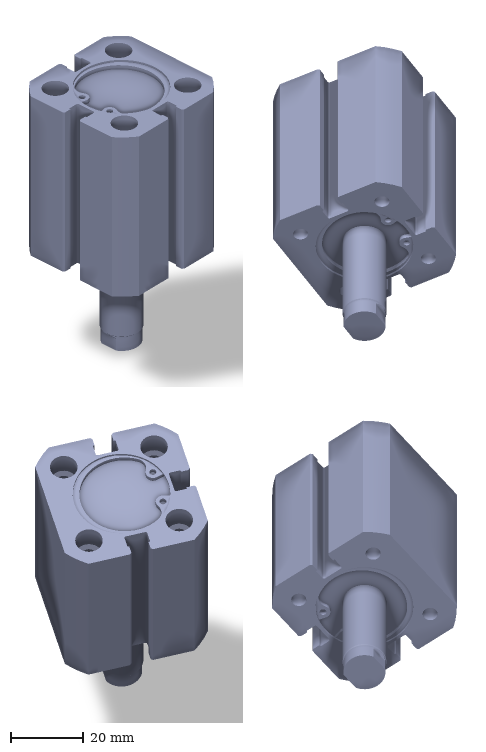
import cadquery as cq
import math

total_height = 83.5
housing_height = 52.6
housing_width = 41.0
corner_diameter = 51.0

slot_mouth_width = 5.5
slot_width = 6.5
slot_lip = 2.7
side_slot_depth = 6.2
front_slot_depth = 6.1
slot_mouth_chamfer = 0.5
slot_floor_fillet = 0.5

hole_spacing = 25.9
hole_diameter = 4.2
counterbore_diameter = 7.6
counterbore_depth = 7.0

bore_diameter = 27.0
groove_diameter = 28.4
groove_inset = 0.7
ring_thickness = 1.3

ring_inner_radius = 12.5
ring_inner_offset = 0.9
lug_radius = 2.0
lug_fillet = 3.25
lug_hole_x = 5.2
lug_hole_y = -10.4
lug_hole_diameter = 1.9

cover_thickness = 5.0

rod_diameter = 12.1
tip_diameter = 11.6
tip_length = 4.7
flat_width = 10.3
flat_length = 3.9

half_width = housing_width / 2
shoulder_chamfer = (rod_diameter - tip_diameter) / 2
rod_end_z = housing_height - total_height
lower_ring_z = groove_inset
upper_ring_z = housing_height - groove_inset - ring_thickness
rod_cover_z = lower_ring_z + ring_thickness
head_cover_z = upper_ring_z - cover_thickness


def disc(diameter, bottom_z, height):
    """Upright cylinder on the housing axis."""
    return cq.Workplane("XY", origin=(0, 0, bottom_z)).circle(diameter / 2).extrude(height)


def slot_cutter(depth, angle):
    """T-slot over the full height in the -Y side, turned about Z by angle."""
    side_y = -half_width
    mouth = slot_mouth_width / 2
    flare = mouth + slot_mouth_chamfer
    narrow = (
        cq.Workplane("XY")
        .moveTo(-flare, side_y)
        .lineTo(flare, side_y)
        .lineTo(mouth, side_y + slot_mouth_chamfer)
        .lineTo(mouth, side_y + slot_lip)
        .lineTo(-mouth, side_y + slot_lip)
        .lineTo(-mouth, side_y + slot_mouth_chamfer)
        .close()
        .extrude(housing_height)
    )
    wide_depth = depth - slot_lip
    wide = (
        cq.Workplane("XY", origin=(0, side_y + slot_lip + wide_depth / 2, 0))
        .rect(slot_width, wide_depth)
        .extrude(housing_height)
        .edges("|Z and >Y")
        .fillet(slot_floor_fillet)
    )
    return narrow.union(wide).rotate((0, 0, 0), (0, 0, 1), angle)


def make_housing():
    block = cq.Workplane("XY").rect(housing_width, housing_width).extrude(housing_height)
    body = block.intersect(disc(corner_diameter, 0, housing_height))
    body = (
        body.faces(">Z").workplane(origin=(0, 0, 0))
        .rect(hole_spacing, hole_spacing, forConstruction=True)
        .vertices()
        .cboreHole(hole_diameter, counterbore_diameter, counterbore_depth)
    )
    body = body.cut(slot_cutter(front_slot_depth, 0))
    for angle in (-90, 90):
        body = body.cut(slot_cutter(side_slot_depth, angle))
    body = body.cut(disc(bore_diameter, 0, housing_height))
    for groove_z in (lower_ring_z, upper_ring_z):
        body = body.cut(disc(groove_diameter, groove_z, ring_thickness))
    return body


def polar(center, radius, angle):
    """Point at a distance and direction (radians from +X) from a centre."""
    return (center[0] + radius * math.cos(angle), center[1] + radius * math.sin(angle))


def direction(start, end):
    """Direction from one point to another, in radians from +X."""
    return math.atan2(end[1] - start[1], end[0] - start[0])


def mirrored(point):
    """The same point on the -X side."""
    return (-point[0], point[1])


def ring_outline():
    """Closed outline of a retaining ring with an eccentric inner circle and two lugs beside its gap.

    The points are worked out for the +X half and mirrored for the other half.
    """
    axis = (0, 0)
    inner_center = (0, -ring_inner_offset)
    lug_center = (lug_hole_x, lug_hole_y)
    groove_radius = groove_diameter / 2

    lug_distance = math.hypot(*lug_center)
    gap_direction = direction(axis, lug_center) - math.asin(lug_radius / lug_distance)
    gap_outer = polar(axis, groove_radius, gap_direction)
    gap_inner = polar(axis, math.sqrt(lug_distance**2 - lug_radius**2), gap_direction)

    to_inner = ring_inner_radius - lug_fillet
    to_lug = lug_radius + lug_fillet
    between = math.dist(inner_center, lug_center)
    cos_at_inner = (to_inner**2 + between**2 - to_lug**2) / (2 * to_inner * between)
    fillet_direction = direction(inner_center, lug_center) + math.acos(cos_at_inner)
    fillet_center = polar(inner_center, to_inner, fillet_direction)
    lug_end = polar(lug_center, lug_radius, direction(lug_center, fillet_center))
    fillet_end = polar(inner_center, ring_inner_radius, fillet_direction)

    lug_start_direction = direction(lug_center, gap_inner) % math.tau
    lug_end_direction = direction(lug_center, fillet_center)
    lug_middle = polar(lug_center, lug_radius, (lug_start_direction + lug_end_direction) / 2)
    fillet_start_direction = direction(fillet_center, lug_center)
    fillet_middle = polar(fillet_center, lug_fillet, (fillet_start_direction + fillet_direction) / 2)

    return (
        cq.Workplane("XY")
        .moveTo(*gap_outer)
        .lineTo(*gap_inner)
        .threePointArc(lug_middle, lug_end)
        .threePointArc(fillet_middle, fillet_end)
        .threePointArc((0, ring_inner_radius - ring_inner_offset), mirrored(fillet_end))
        .threePointArc(mirrored(fillet_middle), mirrored(lug_end))
        .threePointArc(mirrored(lug_middle), mirrored(gap_inner))
        .lineTo(*mirrored(gap_outer))
        .threePointArc((0, groove_radius), gap_outer)
        .close()
    )


def make_ring(bottom_z):
    lug_holes = (
        cq.Workplane("XY")
        .pushPoints([(-lug_hole_x, lug_hole_y), (lug_hole_x, lug_hole_y)])
        .circle(lug_hole_diameter / 2)
        .extrude(ring_thickness)
    )
    ring = ring_outline().extrude(ring_thickness).cut(lug_holes)
    return ring.translate((0, 0, bottom_z))


def make_head_cover():
    return disc(bore_diameter, head_cover_z, cover_thickness)


def make_rod_cover():
    """Plate at the rod end, bored to guide the rod."""
    plate = disc(bore_diameter, rod_cover_z, cover_thickness)
    return plate.cut(disc(rod_diameter, rod_cover_z, cover_thickness))


def flat_cutter(side):
    """Material beyond one wrench flat; its upper end slopes outward at 45 degrees."""
    flat_y = flat_width / 2
    flat_top_z = rod_end_z + flat_length
    reach = rod_diameter - flat_y
    profile = [
        (side * flat_y, rod_end_z),
        (side * flat_y, flat_top_z),
        (side * (flat_y + reach), flat_top_z + reach),
        (side * (flat_y + reach), rod_end_z),
    ]
    return cq.Workplane("YZ").polyline(profile).close().extrude(rod_diameter, both=True)


def make_rod():
    """Rod from the head cover out through the rod cover to a reduced tip with two flats."""
    shoulder_z = rod_end_z + tip_length
    shaft = disc(rod_diameter, shoulder_z, head_cover_z - shoulder_z)
    shaft = shaft.faces("<Z").edges().chamfer(shoulder_chamfer)
    rod = shaft.union(disc(tip_diameter, rod_end_z, tip_length))
    for side in (-1, 1):
        rod = rod.cut(flat_cutter(side))
    return rod


housing = make_housing()
rings = [make_ring(ring_z) for ring_z in (lower_ring_z, upper_ring_z)]
head_cover = make_head_cover()
rod_cover = make_rod_cover()
rod = make_rod()

result = cq.Compound.makeCompound(
    [housing.val(), *[ring.val() for ring in rings], head_cover.val(), rod_cover.val(), rod.val()]
)